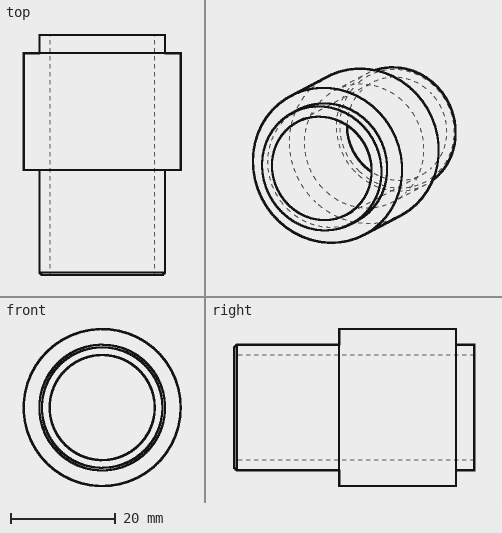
import cadquery as cq

total_length = 45.8
collar_diameter = 30.0
tube_diameter = 24.0
bore_diameter = 20.0
front_length = 20.0
rear_length = 3.5
front_chamfer = 0.5

collar_length = total_length - front_length - rear_length
front_y = -total_length / 2


def cylinder_along_y(diameter, start_y, length):
    """Solid cylinder on the Y axis, growing toward +Y from start_y."""
    plane = cq.Workplane("XZ", origin=(0, start_y, 0))
    return plane.circle(diameter / 2).extrude(-length)


tube = cylinder_along_y(tube_diameter, front_y, total_length)
tube = tube.faces("<Y").edges().chamfer(front_chamfer)

collar = cylinder_along_y(collar_diameter, front_y + front_length, collar_length)
bore = cylinder_along_y(bore_diameter, front_y, total_length)

result = tube.union(collar).cut(bore)